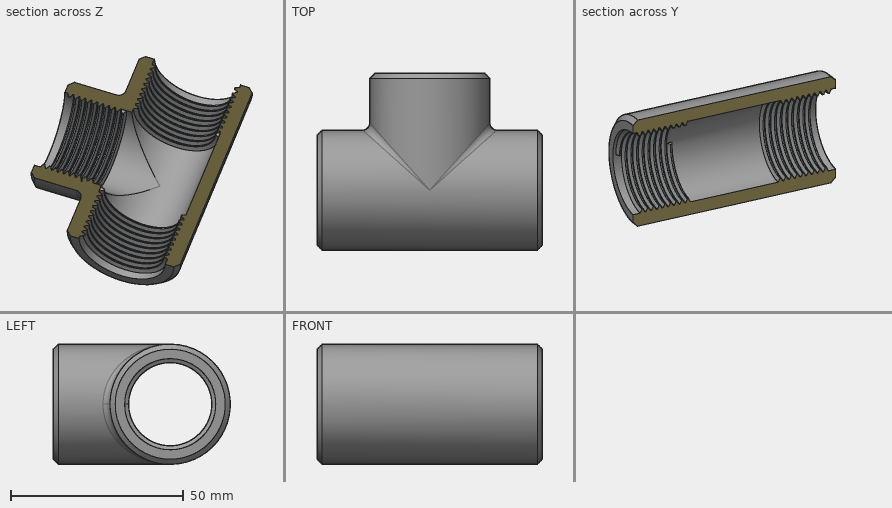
import cadquery as cq
import math


run_length = 65.5
outer_radius = 17.5
branch_reach = 34.0
mouth_chamfer = 1.5
crotch_fillet = 2.0

major_radius = 13.2
minor_radius = 12.05
pitch = 1.85
turns = 9
thread_start = 0.9
flank_angle = 27.5
crest_width = 0.45
wall_overlap = 0.05

half_length = run_length / 2

mouths = [
    cq.Plane(origin=(-half_length, 0, 0), xDir=(0, 1, 0), normal=(1, 0, 0)),
    cq.Plane(origin=(half_length, 0, 0), xDir=(0, -1, 0), normal=(-1, 0, 0)),
    cq.Plane(origin=(0, branch_reach, 0), xDir=(1, 0, 0), normal=(0, -1, 0)),
]


def make_tee(radius):
    """Solid tee of one radius: the full run joined with the branch."""
    run = cq.Workplane(mouths[0]).circle(radius).extrude(run_length)
    branch = cq.Workplane(mouths[2]).circle(radius).extrude(branch_reach)
    return run.union(branch)


def make_thread_ridge():
    """Thread ridge around the Z axis, with the mouth at Z = 0 and the depth along +Z."""
    flank_slope = math.tan(math.radians(flank_angle))
    root_radius = major_radius + wall_overlap
    flank_depth = (major_radius - minor_radius) * flank_slope
    sunk_depth = wall_overlap * flank_slope
    crest_start = thread_start + flank_depth
    crest_end = crest_start + crest_width

    profile = (
        cq.Workplane("XZ")
        .moveTo(root_radius, thread_start - sunk_depth)
        .lineTo(minor_radius, crest_start)
        .lineTo(minor_radius, crest_end)
        .lineTo(root_radius, crest_end + flank_depth + sunk_depth)
        .close()
    )
    helix_start = cq.Vector(0, 0, thread_start)
    helix = cq.Wire.makeHelix(pitch, turns * pitch, major_radius, center=helix_start)
    return profile.sweep(helix, isFrenet=True).val()


body = make_tee(outer_radius)
crotch_edges = [edge for edge in body.edges().vals() if edge.geomType() == "ELLIPSE"]
body = body.newObject(crotch_edges).fillet(crotch_fillet)
body = body.faces("<X or >X or >Y").edges("%CIRCLE").chamfer(mouth_chamfer)

body = body.cut(make_tee(major_radius))

ridge = make_thread_ridge()
for mouth in mouths:
    body = body.union(cq.Workplane(ridge.moved(cq.Location(mouth))))

result = body